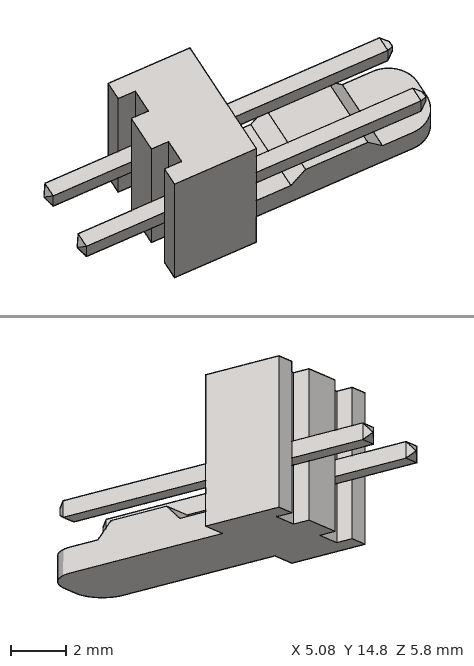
import cadquery as cq


pitch = 2.54
pin_count = 2
block_width = pin_count * pitch
block_depth = 3.35
block_height = 5.8
slot_width = 1.0
slot_depth = 0.7

pin_side = 0.64
pin_height = 2.5
mating_length = 7.55
mating_taper = 0.3
mating_tip_side = 0.25
tail_length = 3.3
tail_taper = 0.2
tail_tip_side = 0.04

tongue_length = 8.15
tongue_width = 3.08
tongue_thickness = 1.0
tongue_corner_radius = 1.2
ramp_start = 1.95
ramp_height = 0.6
ridge_length = 3.75

pin_positions = [(i - (pin_count - 1) / 2) * pitch for i in range(pin_count)]


def make_block():
    """Rectangular housing with a full-height slot around each pin tail."""
    block = cq.Workplane("XY").box(
        block_width, block_depth, block_height, centered=(True, False, False)
    ).translate((0, -block_depth, 0))
    for x in pin_positions:
        slot = cq.Workplane("XY").box(
            slot_width, slot_depth, block_height, centered=(True, False, False)
        ).translate((x, -block_depth, 0))
        block = block.cut(slot)
    return block


def make_tongue():
    """Flat tongue with a rounded free end and a trapezoidal locking ridge on top."""
    ramp_end = ramp_start + ridge_length
    ridge_top = tongue_thickness + ramp_height
    profile = [
        (0, 0),
        (tongue_length, 0),
        (tongue_length, tongue_thickness),
        (ramp_end, tongue_thickness),
        (ramp_end - ramp_height, ridge_top),
        (ramp_start + ramp_height, ridge_top),
        (ramp_start, tongue_thickness),
        (0, tongue_thickness),
    ]
    tongue = cq.Workplane("YZ").polyline(profile).close().extrude(tongue_width / 2, both=True)
    return tongue.faces(">Y").edges("|Z").fillet(tongue_corner_radius)


def make_taper(tip_side, length):
    """Square pin end narrowing along +Z from the pin section at the origin."""
    return (
        cq.Workplane("XY")
        .rect(pin_side, pin_side)
        .workplane(offset=length)
        .rect(tip_side, tip_side)
        .loft(ruled=True)
    )


def make_pin(x):
    """Square pin with a blunt tapered mating end and a nearly pointed tail."""
    mating_base = mating_length - mating_taper
    tail_base = -block_depth - tail_length + tail_taper
    shaft = cq.Workplane("XY").box(
        pin_side, mating_base - tail_base, pin_side, centered=(True, False, True)
    ).translate((0, tail_base, 0))
    mating_tip = (
        make_taper(mating_tip_side, mating_taper)
        .rotate((0, 0, 0), (1, 0, 0), -90)
        .translate((0, mating_base, 0))
    )
    tail_tip = (
        make_taper(tail_tip_side, tail_taper)
        .rotate((0, 0, 0), (1, 0, 0), 90)
        .translate((0, tail_base, 0))
    )
    return shaft.union(mating_tip).union(tail_tip).translate((x, 0, pin_height))


result = make_block().union(make_tongue())
for pin_x in pin_positions:
    result = result.union(make_pin(pin_x))